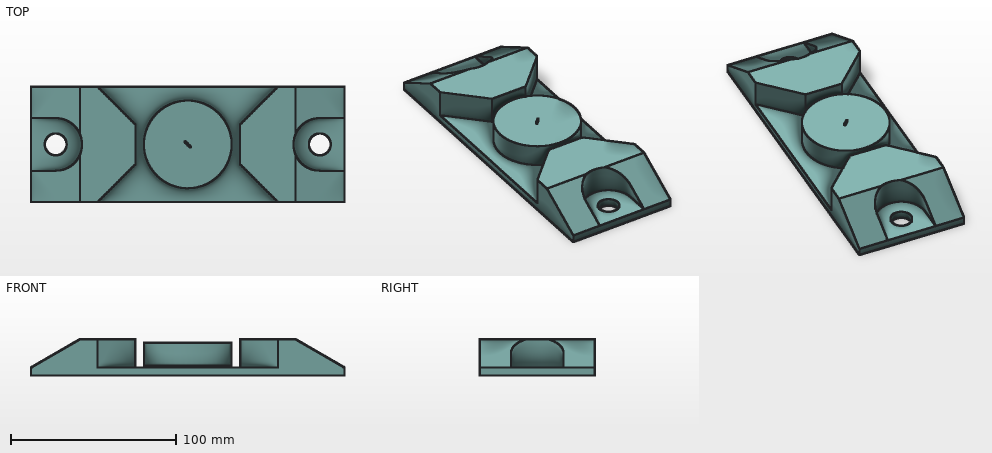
import cadquery as cq
import math

length = 190.0
width = 70.0
height = 22.0

base_thickness = 5.0
ramp_angle = 30.0
block_inner_x = 31.7
inner_face_width = 24.1

hole_diameter = 13.1
hole_inset = 15.0
recess_width = 32.0

pad_diameter = 53.2
pad_bottom_z = 6.0
pad_top_z = 20.0
neck_diameter = 47.0

slit_length = 5.0
slit_width = 0.8
slit_depth = 1.0
slit_angle = -45.0

half_length = length / 2
half_width = width / 2
block_height = height - base_thickness
hole_x = half_length - hole_inset


def end_block(side):
    """Block with an outer ramp and cut inner corners; side is +1 or -1 along X."""
    ramp_length = block_height / math.tan(math.radians(ramp_angle))
    profile = [
        (side * block_inner_x, base_thickness),
        (side * half_length, base_thickness),
        (side * (half_length - ramp_length), height),
        (side * block_inner_x, height),
    ]
    ramped = cq.Workplane("XZ").polyline(profile).close().extrude(half_width, both=True)

    half_face = inner_face_width / 2
    corner_cut = half_width - half_face
    outline = [
        (side * block_inner_x, -half_face),
        (side * (block_inner_x + corner_cut), -half_width),
        (side * half_length, -half_width),
        (side * half_length, half_width),
        (side * (block_inner_x + corner_cut), half_width),
        (side * block_inner_x, half_face),
    ]
    footprint = (
        cq.Workplane("XY").workplane(offset=base_thickness)
        .polyline(outline).close().extrude(block_height)
    )
    return ramped.intersect(footprint)


def end_recess(side):
    """Round-ended recess above the base plate, open towards the end of the part."""
    floor = cq.Workplane("XY").workplane(offset=base_thickness)
    round_end = floor.center(side * hole_x, 0).circle(recess_width / 2).extrude(block_height)
    straight = (
        floor.center(side * (hole_x + half_length) / 2, 0)
        .rect(hole_inset, recess_width).extrude(block_height)
    )
    return round_end.union(straight)


def centre_pad():
    """Round pad raised off the base plate by a narrower neck, with a slit on top."""
    neck = (
        cq.Workplane("XY").workplane(offset=base_thickness)
        .circle(neck_diameter / 2).extrude(pad_bottom_z - base_thickness)
    )
    pad = (
        cq.Workplane("XY").workplane(offset=pad_bottom_z)
        .circle(pad_diameter / 2).extrude(pad_top_z - pad_bottom_z)
    )
    slit = (
        cq.Workplane("XY").workplane(offset=pad_top_z - slit_depth)
        .transformed(rotate=(0, 0, slit_angle))
        .rect(slit_length, slit_width).extrude(slit_depth)
    )
    return neck.union(pad).cut(slit)


result = cq.Workplane("XY").rect(length, width).extrude(base_thickness)

for side in (-1, 1):
    result = result.union(end_block(side).cut(end_recess(side)))

mounting_holes = (
    cq.Workplane("XY")
    .pushPoints([(-hole_x, 0), (hole_x, 0)])
    .circle(hole_diameter / 2).extrude(base_thickness)
)
result = result.cut(mounting_holes).union(centre_pad())